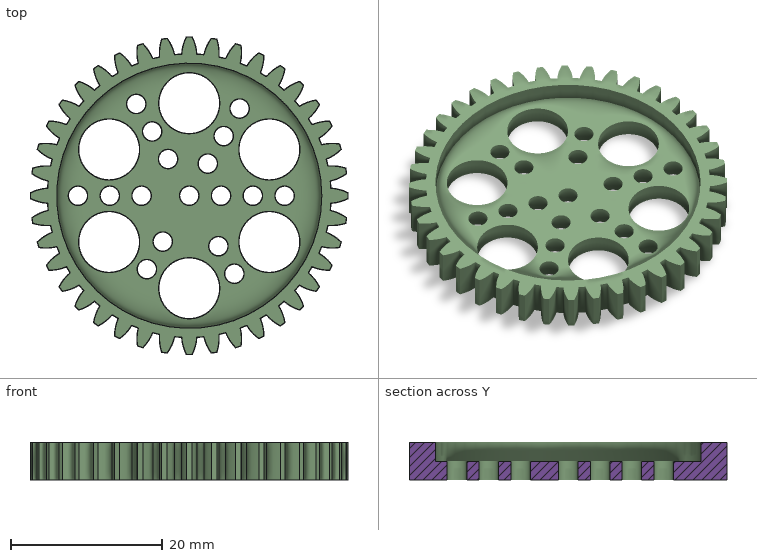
import cadquery as cq
import math

outside_diameter = 42.0
tooth_count = 40
pressure_angle = math.radians(20)
face_width = 5.0

module = outside_diameter / (tooth_count + 2)
tip_radius = outside_diameter / 2
pitch_radius = module * tooth_count / 2
dedendum = 1.25 * module
root_radius = pitch_radius - dedendum
base_radius = pitch_radius * math.cos(pressure_angle)
tooth_pitch_angle = 2 * math.pi / tooth_count

recess_diameter = 35.0
web_thickness = face_width / 2

spoke_count = 6
spoke_step = 2 * math.pi / spoke_count
large_hole_diameter = 8.0
large_hole_circle_radius = 12.2

small_hole_diameter = 2.5
small_hole_spacing = 4.2
spoke_start_shift = small_hole_spacing / spoke_count
small_hole_last_radius = 14.7
small_holes_per_full_spoke = 3
radius_margin = 0.05


def polar(radius, angle):
    return (radius * math.cos(angle), radius * math.sin(angle))


def involute(angle):
    return math.tan(angle) - angle


def half_tooth_angle(radius):
    """Half the angle an involute tooth spans at a radius; constant inside the base circle."""
    local_pressure_angle = math.acos(min(1.0, base_radius / radius))
    return tooth_pitch_angle / 4 + involute(pressure_angle) - involute(local_pressure_angle)


def gear_outline():
    """Closed outline of all the teeth, with the first tooth centred on +X."""
    root_half = half_tooth_angle(root_radius)
    pitch_half = half_tooth_angle(pitch_radius)
    tip_half = half_tooth_angle(tip_radius)
    outline = cq.Workplane("XY").moveTo(*polar(root_radius, -root_half))
    for tooth in range(tooth_count):
        middle = tooth * tooth_pitch_angle
        next_gap = middle + tooth_pitch_angle / 2
        next_tooth = middle + tooth_pitch_angle
        outline = (
            outline
            .threePointArc(polar(pitch_radius, middle - pitch_half), polar(tip_radius, middle - tip_half))
            .threePointArc(polar(tip_radius, middle), polar(tip_radius, middle + tip_half))
            .threePointArc(polar(pitch_radius, middle + pitch_half), polar(root_radius, middle + root_half))
            .threePointArc(polar(root_radius, next_gap), polar(root_radius, next_tooth - root_half))
        )
    return outline.close()


def large_hole_centers():
    """One centre midway between each pair of neighbouring spokes."""
    return [polar(large_hole_circle_radius, (spoke + 0.5) * spoke_step) for spoke in range(spoke_count)]


def small_hole_centers():
    """Evenly spaced centres along each spoke, as far as the last usable radius."""
    centers = []
    for spoke in range(spoke_count):
        first_radius = small_hole_spacing + spoke * spoke_start_shift
        for position in range(small_holes_per_full_spoke):
            radius = first_radius + position * small_hole_spacing
            if radius < small_hole_last_radius + radius_margin:
                centers.append(polar(radius, spoke * spoke_step))
    return centers


def cylinders(centers, diameter, bottom):
    """Cylinders from the bottom height up to the upper face."""
    return (
        cq.Workplane("XY", origin=(0, 0, bottom))
        .pushPoints(centers)
        .circle(diameter / 2)
        .extrude(face_width - bottom)
    )


gear_center = (0, 0)
gear = gear_outline().extrude(face_width)

gear = gear.cut(cylinders([gear_center], recess_diameter, web_thickness))

gear = gear.cut(cylinders(large_hole_centers(), large_hole_diameter, 0))
gear = gear.cut(cylinders([gear_center] + small_hole_centers(), small_hole_diameter, 0))

result = gear